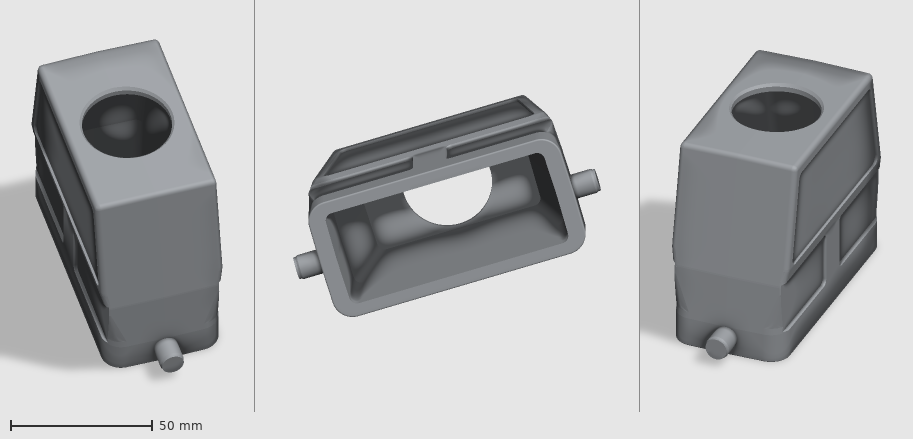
import cadquery as cq

base_length = 93.7
base_width = 43.3
base_height = 11.3
base_corner_radius = 7.4
rim_rounding = 0.6

waist_top = 31.0
waist_bevel_height = 0.7
waist_top_length = 90.3
corner_change_start = 13.8
corner_change_end = 27.8

bevel_bottom = waist_top - waist_bevel_height / 2
bevel_top = waist_top + waist_bevel_height / 2

end_crown = 0.28

hood_width = 45.0
hood_top_length = 71.8
flare_start = 32.0
flare_end = 36.9
flare_rounding = 5.6
height = 76.0
roof_fall = 0.3
upper_corner_radius = 1.9

entry_diameter = 32.0
entry_rim_diameter = 34.1

waist_panel_floor = 20.4
waist_panel_bottom = 11.3
waist_panel_top = 32.3
rib_width = 11.9
waist_panel_corner_radius = 2.2
waist_panel_clearance = 0.2
hood_panel_depth = 0.9
hood_panel_bottom = 36.8
hood_panel_top = 71.4
hood_panel_margin = 4.2
hood_panel_corner_radius = 2.8
panel_draft_angle = 20

peg_span = 111.5
peg_diameter = 8.8
peg_tip_diameter = 8.0
peg_tip_length = 1.5
peg_shoulder_length = 0.7
peg_height = 6.8

side_wall = 3.3
end_wall = 6.1
roof_thickness = 3.0
cavity_corner_radius = 2.8


def waist_length(z):
    """Length in X of the lightly drafted waist at height z."""
    share = (z - base_height) / (waist_top - base_height)
    return base_length + share * (waist_top_length - base_length)


def hood_length(z):
    """Length in X of the tapered hood at height z."""
    share = (z - waist_top) / (height - waist_top)
    return waist_top_length + share * (hood_top_length - waist_top_length)


def crowned_section(z, length, width, radius=0):
    """Wire of a rectangle at height z whose ends bulge to a slight point on the X axis."""
    end_x = length / 2
    corner_x = end_x - end_crown
    corner_y = width / 2
    outline = [
        (end_x, 0),
        (corner_x, corner_y),
        (-corner_x, corner_y),
        (-end_x, 0),
        (-corner_x, -corner_y),
        (corner_x, -corner_y),
    ]
    sketch = cq.Sketch().polygon(outline + outline[:1])
    if radius > 0:
        sketch = sketch.vertices("<Y or >Y").fillet(radius)
    return cq.Workplane(origin=(0, 0, z)).placeSketch(sketch)._getFaces()[0].outerWire()


def crowned_loft(sections):
    """Ruled solid through crowned sections given as (z, length, width, radius)."""
    wires = [crowned_section(*section) for section in sections]
    return cq.Workplane(obj=cq.Solid.makeLoft(wires, True))


def make_base():
    """Straight skirt with a rounded lower rim."""
    base = crowned_loft([
        (0, base_length, base_width, base_corner_radius),
        (base_height, base_length, base_width, base_corner_radius),
    ])
    return base.faces("<Z").edges().fillet(rim_rounding)


def make_waist():
    """Drafted section whose corner radius shrinks upwards."""
    corners = [
        (base_height, base_corner_radius),
        (corner_change_start, base_corner_radius),
        (corner_change_end, upper_corner_radius),
        (bevel_bottom, upper_corner_radius),
    ]
    return crowned_loft([(z, waist_length(z), base_width, radius) for z, radius in corners])


def make_hood():
    """Side taper and end profile intersected, with the outer edges rounded."""
    taper = crowned_loft([
        (bevel_bottom, waist_length(bevel_bottom), hood_width),
        (bevel_top, hood_length(bevel_top), hood_width),
        (height, hood_top_length, hood_width),
    ])
    right_side = [
        (base_width / 2, bevel_bottom),
        (base_width / 2, flare_start),
        (hood_width / 2, flare_end),
        (hood_width / 2, height - roof_fall),
    ]
    left_side = [(-y, z) for y, z in reversed(right_side)]
    profile = (
        cq.Workplane("YZ")
        .polyline(right_side + [(0, height)] + left_side)
        .close()
        .extrude(base_length, both=True)
    )
    flare_creases = profile.edges("|X").filter(lambda edge: bevel_top < edge.Center().z < hood_panel_top)
    hood = taper.intersect(flare_creases.fillet(flare_rounding))
    sloping_edges = hood.edges("(not |X) and (not #Z)")
    corner_edges = sloping_edges.filter(lambda edge: abs(edge.Center().y) > upper_corner_radius)
    long_roof_edges = hood.faces("<Y or >Y").edges(">Z")
    return corner_edges.add(long_roof_edges).fillet(upper_corner_radius)


def cut_entry(body):
    """Round cable entry through the roof, with a chamfered mouth."""
    chamfer = (entry_rim_diameter - entry_diameter) / 2
    bore = (
        cq.Workplane("XY", origin=(0, 0, flare_end))
        .circle(entry_diameter / 2)
        .extrude(height - flare_end)
    )
    mouth = (
        cq.Workplane("XY", origin=(0, 0, height - chamfer))
        .circle(entry_diameter / 2)
        .workplane(offset=chamfer)
        .circle(entry_rim_diameter / 2)
        .loft()
    )
    return body.cut(bore).cut(mouth)


def panel_recess(outline, corner_radius, floor_y, depth):
    """Drafted, round-cornered cutter on the -Y side, narrowing inwards to a floor at -floor_y."""
    return (
        cq.Workplane("XZ", origin=(0, -floor_y - depth, 0))
        .polyline(outline)
        .close()
        .extrude(-depth, taper=panel_draft_angle)
        .edges("not #Y")
        .fillet(corner_radius)
    )


def hood_panel():
    """Shallow trapezoidal recess, open at the flare."""
    bottom = hood_length(hood_panel_bottom) / 2 - hood_panel_margin
    top = hood_length(hood_panel_top) / 2 - hood_panel_margin
    outline = [
        (-bottom, hood_panel_bottom),
        (bottom, hood_panel_bottom),
        (top, hood_panel_top),
        (-top, hood_panel_top),
    ]
    floor = hood_width / 2 - hood_panel_depth
    return panel_recess(outline, hood_panel_corner_radius, floor, hood_panel_depth)


def waist_panel():
    """Recess from the central rib out past the end of the waist."""
    inner = rib_width / 2
    outer = base_length / 2 + 2 * waist_panel_corner_radius
    outline = [
        (inner, waist_panel_bottom),
        (outer, waist_panel_bottom),
        (outer, waist_panel_top),
        (inner, waist_panel_top),
    ]
    depth = base_width / 2 + waist_panel_clearance - waist_panel_floor
    return panel_recess(outline, waist_panel_corner_radius, waist_panel_floor, depth)


def make_cavity():
    """Inside space, open at the bottom, following the outer taper."""
    width = 2 * (waist_panel_floor - side_wall)
    ceiling = height - roof_thickness
    sections = [
        (0, base_length - 2 * end_wall),
        (waist_top, waist_top_length - 2 * end_wall),
        (ceiling, hood_length(ceiling) - 2 * end_wall),
    ]
    return crowned_loft([(z, length, width, cavity_corner_radius) for z, length in sections])


def make_peg(end):
    """Locking peg on the end face, tapering to a slimmer tip; end is -1 or 1."""
    root = (base_length - end_wall) / 2
    tip_start = peg_span / 2 - peg_tip_length
    shoulder_end = tip_start + peg_shoulder_length
    outline = [
        (root, 0),
        (root, peg_diameter / 2),
        (tip_start, peg_diameter / 2),
        (shoulder_end, peg_tip_diameter / 2),
        (peg_span / 2, peg_tip_diameter / 2),
        (peg_span / 2, 0),
    ]
    return (
        cq.Workplane("XY", origin=(0, 0, peg_height))
        .polyline([(end * x, y) for x, y in outline])
        .close()
        .revolve(360, (0, 0, 0), (1, 0, 0))
    )


result = make_base().union(make_waist()).union(make_hood())
for panel in (hood_panel(), waist_panel(), waist_panel().mirror("YZ")):
    result = result.cut(panel).cut(panel.mirror("XZ"))
result = result.cut(make_cavity())
result = cut_entry(result)
for end in (-1, 1):
    result = result.union(make_peg(end))